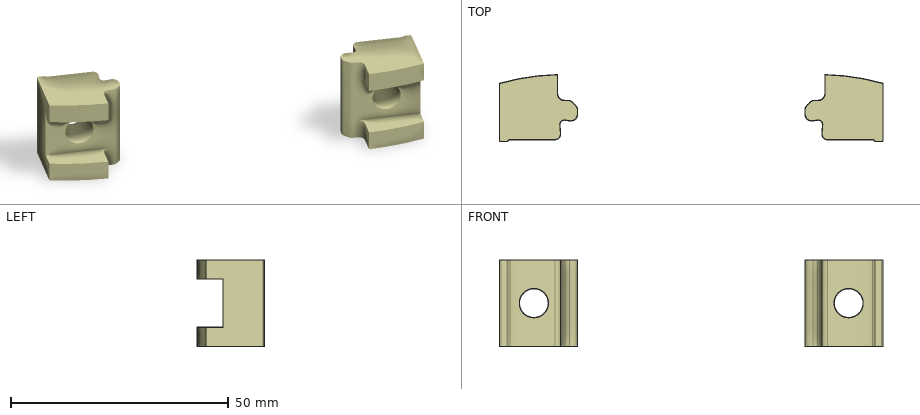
import cadquery as cq

overall_length = 88.4
block_depth = 15.5
block_height = 20.0
half_length = overall_length / 2

body_width = 13.4
outer_side_depth = 13.4
back_arc_radius = 53.0
nose_reach = 18.0
nose_back = 9.55
nose_chamfer = 1.7
ledge_root = 5.1
ledge_tip = 4.5
front_wall_width = 14.2
front_wall_root = 13.9
foot_height = 0.4
foot_width = 1.9
foot_slope_run = 0.35

neck_radius = 1.5
nose_back_radius = 1.3
nose_front_radius = 1.6
ledge_radius = 1.0
front_corner_radius = 1.3
foot_tip_radius = 0.3
foot_blend_radius = 0.6
outer_corner_radius = 0.35

slot_height = 11.05
hole_diameter = 6.6
hole_inset = 8.0


def round_corner(block, corner, radius):
    """Round the upright edge that stands at one outline corner."""
    x, y = corner
    edge = cq.selectors.NearestToPointSelector((x - half_length, y, 0))
    return block.edges("|Z").edges(edge).fillet(radius)


def outline_block():
    """Left block as a plain extrusion, with its outline corners rounded."""
    outer_corner = (0, 0)
    foot_end = (foot_width, 0)
    foot_root = (foot_width + foot_slope_run, foot_height)
    front_corner = (front_wall_width, foot_height)
    ledge_corner = (front_wall_root, ledge_root)
    nose_front_corner = (nose_reach, ledge_tip)
    nose_side_end = (nose_reach, nose_back - nose_chamfer)
    nose_back_end = (nose_reach - nose_chamfer, nose_back)
    neck_corner = (body_width, nose_back)

    block = (
        cq.Workplane("XY", origin=(-half_length, 0, -block_height / 2))
        .moveTo(*outer_corner)
        .lineTo(*foot_end)
        .lineTo(*foot_root)
        .lineTo(*front_corner)
        .lineTo(*ledge_corner)
        .lineTo(*nose_front_corner)
        .lineTo(*nose_side_end)
        .lineTo(*nose_back_end)
        .lineTo(*neck_corner)
        .lineTo(body_width, block_depth)
        .radiusArc((0, outer_side_depth), -back_arc_radius)
        .close()
        .extrude(block_height)
    )
    rounded_corners = [
        (outer_corner, outer_corner_radius),
        (foot_end, foot_tip_radius),
        (foot_root, foot_blend_radius),
        (front_corner, front_corner_radius),
        (ledge_corner, ledge_radius),
        (nose_front_corner, nose_front_radius),
        (nose_side_end, nose_back_radius),
        (nose_back_end, nose_back_radius),
        (neck_corner, neck_radius),
    ]
    for corner, radius in rounded_corners:
        block = round_corner(block, corner, radius)
    return block


def back_slot():
    """Slot along X that opens the back down to the level of the nose."""
    return cq.Workplane("XY").box(
        overall_length, block_depth - nose_back, slot_height, centered=(True, False, True)
    ).translate((0, nose_back, 0))


def bolt_hole():
    """Round hole along Y through the whole depth."""
    return (
        cq.Workplane("XZ", origin=(hole_inset - half_length, 0, 0))
        .circle(hole_diameter / 2)
        .extrude(-block_depth)
    )


def clamp_block(side):
    """One clamp block: side -1 is the left one, side 1 its mirror image."""
    block = outline_block().cut(back_slot()).cut(bolt_hole())
    if side > 0:
        block = block.mirror("YZ")
    return block


clamp_blocks = [clamp_block(side).val() for side in (-1, 1)]

result = cq.Compound.makeCompound(clamp_blocks)